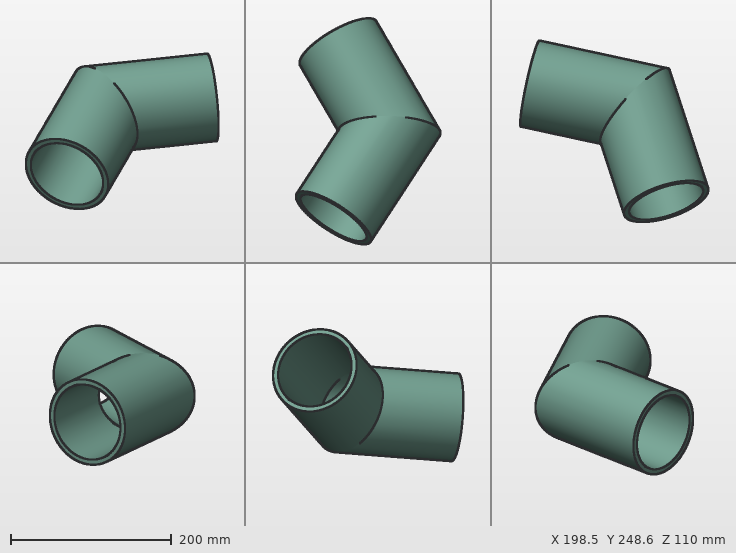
import cadquery as cq
import math

overall_length = 248.6
outer_diameter = 110.0
wall_thickness = 6.7
bend_angle = 60.0

outer_radius = outer_diameter / 2
inner_radius = outer_radius - wall_thickness
bend = math.radians(bend_angle)

end_overhang = outer_radius * math.sin(bend)
leg_length = (overall_length - end_overhang) / (1 + math.cos(bend))

inlet = (0, -leg_length)
mitre = (0, 0)
outlet = (leg_length * math.sin(bend), leg_length * math.cos(bend))
centreline = cq.Workplane("XY").polyline([inlet, mitre, outlet])

inlet_plane = cq.Workplane("XZ", origin=(*inlet, 0))
pipe_section = inlet_plane.circle(outer_radius).circle(inner_radius)
result = pipe_section.sweep(centreline, transition="right")